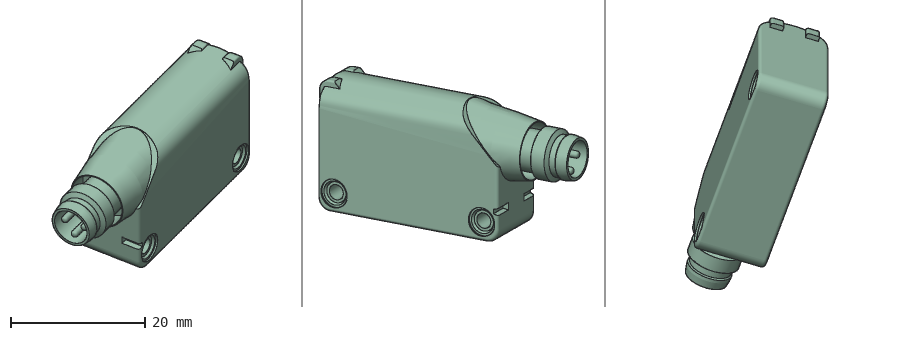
import cadquery as cq
import math


width = 11.0
length = 31.0
height = 20.0
half_width = width / 2
crown_radius = 7.75
shoulder_radius = 2.9
shoulder_inset = 0.08
bottom_corner_radius = 2.0
edge_radius = 0.5
back_relief_z = 16.0
front_relief_z = 13.5

hole_diameter = 2.4
hole_spacing = 25.4
hole_z = 3.0
hole_recess_diameter = 4.5
hole_recess_depth = 0.3
hole_cone_diameter = 3.8
hole_seat_diameter = 3.3
hole_cone_depth = 0.4

slot_z = 5.0
slot_height = 1.15
slot_end_x = 2.35
slot_depth = 0.75
slot_taper = 18.0

hook_outer_x = 3.8
hook_width = 2.0
hook_projection = 0.8
hook_bottom_z = 17.0
hook_reach = 1.85
hook_outer_radius = 1.75
hook_edge_radius = 0.3

axis_z = 13.6
slant_top_y = 7.95
boot_radius = 5.27
boot_end_radius = 4.56
boot_end_y = -3.2
boot_cone_y = 1.3
boot_bend_y = 4.35
boot_bend_radius = 5.35
boot_bend_rise = 0.3
boot_root_radius = 5.4
boot_root_cover = 0.05
boot_root_rise = height - boot_root_cover - boot_root_radius - axis_z
socket_radius = 4.4
socket_depth = 3.0

plug_radius = 3.27
nut_radius = 4.05
nut_back_y = -4.4
nut_front_y = -7.53
nut_chamfer = 0.4
lip_radius = 3.5
lip_back_y = -8.55
lip_rise_length = 0.2
lip_flat_length = 0.55
plug_end_y = -10.55
bore_radius = 2.85
bore_depth = 5.0
pin_radius = 0.55
pin_spread = 1.72
pin_drop = 2.03
pin_tip_radius = 0.4
pin_setback = 0.75

side_x = half_width - shoulder_inset
shoulder_x = side_x - shoulder_radius
crown_z = height - crown_radius
crown_angle = math.asin(shoulder_x / (crown_radius - shoulder_radius))
shoulder_z = crown_z + (crown_radius - shoulder_radius) * math.cos(crown_angle)


def housing_block():
    join_x = crown_radius * math.sin(crown_angle)
    join_z = crown_z + crown_radius * math.cos(crown_angle)
    mid_angle = (crown_angle + math.pi / 2) / 2
    mid_x = shoulder_x + shoulder_radius * math.sin(mid_angle)
    mid_z = shoulder_z + shoulder_radius * math.cos(mid_angle)
    block = (
        cq.Workplane("XZ")
        .moveTo(-half_width, 0)
        .lineTo(half_width, 0)
        .lineTo(half_width, back_relief_z)
        .lineTo(side_x, shoulder_z)
        .threePointArc((mid_x, mid_z), (join_x, join_z))
        .threePointArc((0, height), (-join_x, join_z))
        .threePointArc((-mid_x, mid_z), (-side_x, shoulder_z))
        .lineTo(-half_width, back_relief_z)
        .close()
        .extrude(-length)
    )
    block = block.edges("<Z and |X").fillet(bottom_corner_radius)
    return block.faces(">Y").edges("not <Z").fillet(edge_radius)


def side_relief(side):
    """Wedge between the slanted line on one side and the start of the shoulder arc."""
    outside_x = half_width + edge_radius

    def section(relief_z):
        return [
            (side * half_width, relief_z),
            (side * side_x, shoulder_z),
            (side * outside_x, shoulder_z),
            (side * outside_x, relief_z),
        ]

    return (
        cq.Workplane("XZ")
        .polyline(section(front_relief_z)).close()
        .workplane(offset=-length)
        .polyline(section(back_relief_z)).close()
        .loft(ruled=True)
    )


def slant_cut():
    """Everything in front of the 45 degree plane that starts on the crown."""
    return (
        cq.Workplane("YZ")
        .polyline([
            (slant_top_y, height),
            (slant_top_y - height, 0),
            (slant_top_y - height, height),
        ])
        .close()
        .extrude(half_width, both=True)
    )


def mounting_hole(hole_y):
    """Through hole with a shallow recess and a conical seat at both ends."""
    hole_radius = hole_diameter / 2
    cone_start = half_width - hole_recess_depth
    seat_x = cone_start - hole_cone_depth
    return (
        cq.Workplane("XY")
        .polyline([
            (-half_width, 0),
            (-half_width, hole_recess_diameter / 2),
            (-cone_start, hole_recess_diameter / 2),
            (-cone_start, hole_cone_diameter / 2),
            (-seat_x, hole_seat_diameter / 2),
            (-seat_x, hole_radius),
            (seat_x, hole_radius),
            (seat_x, hole_seat_diameter / 2),
            (cone_start, hole_cone_diameter / 2),
            (cone_start, hole_recess_diameter / 2),
            (half_width, hole_recess_diameter / 2),
            (half_width, 0),
        ])
        .close()
        .revolve(360, (0, 0, 0), (1, 0, 0))
        .translate((0, hole_y, hole_z))
    )


def front_slot(side):
    """Slot in the front wall, open to one side, with walls that close in toward its floor."""
    slot_length = half_width - slot_end_x
    return (
        cq.Workplane("XZ")
        .center(side * half_width, slot_z)
        .rect(2 * slot_length, slot_height)
        .extrude(-slot_depth, taper=slot_taper)
    )


def hook(side):
    """Strip that wraps over the top back edge and ends in a 45 degree ramp."""
    outer_y = length + hook_projection
    ramp_y = length - hook_reach
    root_y = ramp_y - (height - hook_bottom_z)
    strip = (
        cq.Workplane("YZ")
        .moveTo(outer_y, hook_bottom_z)
        .lineTo(outer_y, height - hook_outer_radius)
        .radiusArc((outer_y - hook_outer_radius, height), -hook_outer_radius)
        .lineTo(ramp_y, height)
        .lineTo(root_y, hook_bottom_z)
        .close()
        .extrude(hook_width / 2, both=True)
    )
    strip = strip.faces("<X or >X").edges(">Y or >Z").fillet(hook_edge_radius)
    return strip.translate((side * (hook_outer_x - hook_width / 2), 0, 0))


def boot_section(radius, y, rise=0.0):
    return cq.Wire.makeCircle(radius, cq.Vector(0, y, axis_z + rise), cq.Vector(0, 1, 0))


def boot():
    """Tapered sleeve that bends up to meet the slanted face."""
    cone = cq.Solid.makeLoft(
        [boot_section(boot_end_radius, boot_end_y), boot_section(boot_radius, boot_cone_y)], True)
    bend = cq.Solid.makeLoft(
        [boot_section(boot_radius, boot_cone_y),
         boot_section(boot_bend_radius, boot_bend_y, boot_bend_rise)], True)
    root = cq.Solid.makeLoft(
        [boot_section(boot_bend_radius, boot_bend_y, boot_bend_rise),
         boot_section(boot_root_radius, slant_top_y, boot_root_rise)], True)
    return cq.Workplane(obj=cone).union(cq.Workplane(obj=bend)).union(cq.Workplane(obj=root))


def make_housing():
    body = housing_block()
    for side in (-1, 1):
        body = body.cut(side_relief(side))
        body = body.union(hook(side))
    body = body.cut(slant_cut())
    body = body.union(boot())
    for side in (-1, 1):
        body = body.cut(front_slot(side))
        body = body.cut(mounting_hole(length / 2 + side * hole_spacing / 2))
    socket = cq.Workplane("XZ", origin=(0, boot_end_y, axis_z)).circle(socket_radius).extrude(-socket_depth)
    return body.cut(socket)


def pin(x, z):
    """Contact pin with a domed tip, standing on the floor of the plug's bore."""
    return (
        cq.Workplane("XZ", origin=(x, plug_end_y + bore_depth, z))
        .circle(pin_radius)
        .extrude(bore_depth - pin_setback)
        .faces("<Y").edges().fillet(pin_tip_radius)
    )


def make_plug():
    """Turned connector that stands on the floor of the boot's socket."""
    seat_y = boot_end_y + socket_depth
    lip_top_y = lip_back_y - lip_rise_length
    shell = (
        cq.Workplane("XY")
        .polyline([
            (0, seat_y),
            (plug_radius, seat_y),
            (plug_radius, nut_back_y),
            (nut_radius, nut_back_y - nut_chamfer),
            (nut_radius, nut_front_y + nut_chamfer),
            (plug_radius, nut_front_y),
            (plug_radius, lip_back_y),
            (lip_radius, lip_top_y),
            (lip_radius, lip_top_y - lip_flat_length),
            (plug_radius, plug_end_y),
            (bore_radius, plug_end_y),
            (bore_radius, plug_end_y + bore_depth),
            (0, plug_end_y + bore_depth),
        ])
        .close()
        .revolve(360, (0, 0, 0), (0, 1, 0))
        .translate((0, 0, axis_z))
    )
    for x, z in ((-pin_spread, axis_z), (pin_spread, axis_z), (0, axis_z - pin_drop)):
        shell = shell.union(pin(x, z))
    return shell


housing = make_housing()
plug = make_plug()
result = cq.Compound.makeCompound([housing.val(), plug.val()])